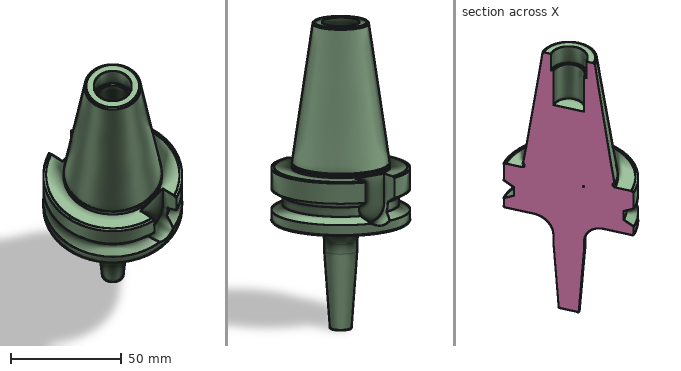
import cadquery as cq

total_height = 142.4
gauge_height = 77.0
flange_top = 75.0
flange_bottom = 50.0
groove_upper_edge = 65.2
groove_upper_floor = 62.4
groove_lower_floor = 58.0
groove_lower_edge = 55.3
nose_taper_top = 36.2

taper_large_radius = 22.2
flange_radius = 31.5
groove_radius = 26.5
neck_radius = 21.4
neck_foot_radius = 22.4
nose_radius = 7.5
nose_tip_radius = 5.0

taper_top_chamfer = 0.7
flange_top_chamfer_width = 1.3
flange_top_chamfer_height = 0.4
flange_bottom_chamfer = 0.7
nose_tip_chamfer = 0.4
neck_shoulder = 0.7
neck_foot_height = 0.7
nose_fillet = 9.3

bore_radius = 8.5
bore_depth = 9.3
inner_bore_radius = 7.3
inner_bore_depth = 28.5

slot_width = 16.1
slot_floor_x = 22.5
slot_bottom = 53.7

taper_slope = 7 / 24 / 2
taper_small_radius = taper_large_radius - taper_slope * (total_height - gauge_height)
chamfer_start_radius = taper_small_radius + taper_slope * taper_top_chamfer


def make_body():
    """Revolve the half profile of the holder about Z."""
    profile = (
        cq.Workplane("XZ")
        .lineTo(nose_tip_radius - nose_tip_chamfer, 0)
        .lineTo(nose_tip_radius, nose_tip_chamfer)
        .lineTo(nose_radius, nose_taper_top)
        .lineTo(nose_radius, flange_bottom - nose_fillet)
        .radiusArc((nose_radius + nose_fillet, flange_bottom), nose_fillet)
        .lineTo(flange_radius - flange_bottom_chamfer, flange_bottom)
        .lineTo(flange_radius, flange_bottom + flange_bottom_chamfer)
        .lineTo(flange_radius, groove_lower_edge)
        .lineTo(groove_radius, groove_lower_floor)
        .lineTo(groove_radius, groove_upper_floor)
        .lineTo(flange_radius, groove_upper_edge)
        .lineTo(flange_radius, flange_top - flange_top_chamfer_height)
        .lineTo(flange_radius - flange_top_chamfer_width, flange_top)
        .lineTo(neck_foot_radius, flange_top)
        .lineTo(neck_radius, flange_top + neck_foot_height)
        .lineTo(neck_radius, gauge_height - neck_shoulder)
        .lineTo(taper_large_radius, gauge_height)
        .lineTo(chamfer_start_radius, total_height - taper_top_chamfer)
        .lineTo(taper_small_radius - taper_top_chamfer, total_height)
        .lineTo(0, total_height)
        .close()
    )
    return profile.revolve(360, (0, 0, 0), (0, 1, 0))


def make_bore():
    """Wide mouth followed by a narrower blind bore."""
    top = cq.Workplane("XY").workplane(offset=total_height)
    mouth = top.circle(bore_radius).extrude(-bore_depth)
    return mouth.union(top.circle(inner_bore_radius).extrude(-inner_bore_depth))


def make_slot(side):
    """Round-bottomed drive slot on the +X (side=1) or -X (side=-1) face, open upward."""
    half_width = slot_width / 2
    arc_center = slot_bottom + half_width
    return (
        cq.Workplane("YZ", origin=(side * slot_floor_x, 0, 0))
        .moveTo(-half_width, flange_top)
        .lineTo(-half_width, arc_center)
        .threePointArc((0, slot_bottom), (half_width, arc_center))
        .lineTo(half_width, flange_top)
        .close()
        .extrude(side * flange_radius)
    )


result = make_body().cut(make_bore())
for side in (-1, 1):
    result = result.cut(make_slot(side))